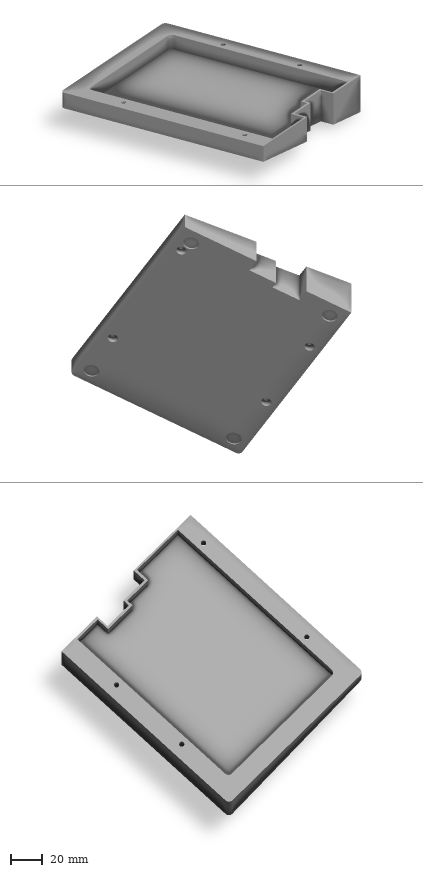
import cadquery as cq
import math

length = 151.5
width = 122.2
height = 25.6
front_height = 10.9
corner_radius = 3.0

side_faces = [length, 142.2, 137.6, 146.9]
side_steps = [51.7, 70.6, 89.9]

border = 12.7
wall = 1.7
thin_wall = 1.2
pocket_depth = 10.0

screw_diameter = 3.3
head_diameter = 6.5
head_depth = 3.0
screw_inset = 7.9
front_screw_x = [42.1, 132.6]
back_screw_x = [49.1, 106.2]

foot_diameter = 10.0
foot_depth = 1.0
foot_inset = 10.0

underside_slope = (height - front_height) / width
slope_angle = math.degrees(math.atan(underside_slope))


def underside_z(y):
    """Height of the sloping underside at a given Y."""
    return height - front_height - underside_slope * y


def stepped_outline(left, front, back, faces, steps):
    """Closed outline with a straight left side and a stepped right side."""
    points = [(left, front)]
    step_ends = [front] + steps + [back]
    for face_x, start_y, end_y in zip(faces, step_ends, step_ends[1:]):
        points.append((face_x, start_y))
        points.append((face_x, end_y))
    points.append((left, back))
    return points


def make_body():
    """Stepped plate with rounded left corners, trimmed to a wedge."""
    outline = stepped_outline(0, 0, width, side_faces, side_steps)
    plate = cq.Workplane("XY").polyline(outline).close().extrude(height)
    plate = plate.edges("|Z and <X").fillet(corner_radius)
    profile = [(0, height), (width, height), (width, 0), (0, underside_z(0))]
    wedge = cq.Workplane("YZ").polyline(profile).close().extrude(length)
    return plate.intersect(wedge)


def make_pocket():
    """Tray cavity whose right side follows the stepped side of the body."""
    front_x, *other_faces = side_faces
    faces = [front_x - thin_wall] + [x - wall for x in other_faces]
    *front_steps, back_step = side_steps
    steps = [y - wall for y in front_steps] + [back_step + thin_wall]
    outline = stepped_outline(border, border, width - border, faces, steps)
    floor = cq.Workplane("XY", origin=(0, 0, height - pocket_depth))
    pocket = floor.polyline(outline).close().extrude(pocket_depth)
    return pocket.edges("|Z and <X").fillet(corner_radius)


def make_screw_hole(x, y):
    """Vertical through hole with a flat-bottomed counterbore below."""
    head_top = underside_z(y) + head_depth
    shank = cq.Workplane("XY").center(x, y).circle(screw_diameter / 2).extrude(height)
    head = cq.Workplane("XY").center(x, y).circle(head_diameter / 2).extrude(head_top)
    return shank.union(head)


def make_foot_recess(x, y):
    """Shallow disc sunk square into the sloping underside."""
    disc = cq.Workplane("XY").circle(foot_diameter / 2).extrude(foot_depth, both=True)
    return disc.rotate((0, 0, 0), (1, 0, 0), -slope_angle).translate((x, y, underside_z(y)))


result = make_body().cut(make_pocket())

for screw_xs, screw_y in [(front_screw_x, screw_inset), (back_screw_x, width - screw_inset)]:
    for screw_x in screw_xs:
        result = result.cut(make_screw_hole(screw_x, screw_y))

for right_face, foot_y in [(side_faces[0], foot_inset), (side_faces[-1], width - foot_inset)]:
    for foot_x in [foot_inset, right_face - foot_inset]:
        result = result.cut(make_foot_recess(foot_x, foot_y))